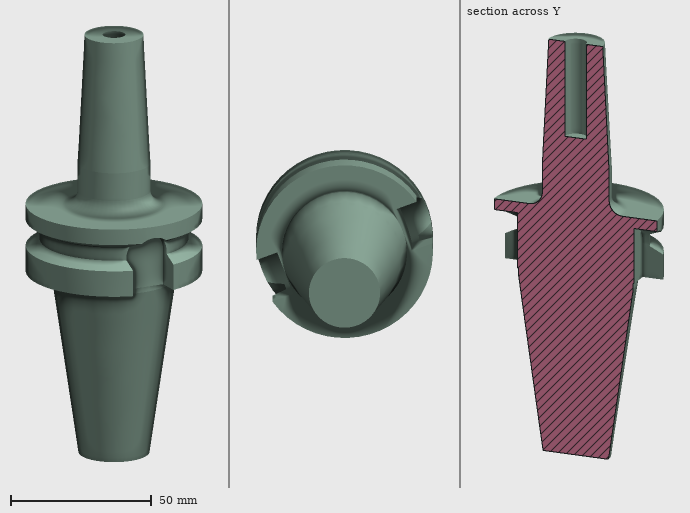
import cadquery as cq

total_length = 155.4
taper_length = 65.5
gauge_diameter = 44.5
taper_ratio = 7 / 24

collar_height = 2.0
flange_diameter = 63.0
flange_thickness = 25.0
groove_diameter = 53.0
upper_rim_height = 5.7
groove_wall_height = 2.5
groove_floor_height = 4.8

body_diameter = 26.0
body_height = 15.2
body_fillet = 5.0
nose_diameter = 21.0
bore_diameter = 8.1
bore_depth = 35.7

slot_width = 16.2
slot_floor_offset = 22.5
slot_top_gap = 4.2

gauge_radius = gauge_diameter / 2
small_end_radius = gauge_radius - taper_length * taper_ratio / 2
flange_radius = flange_diameter / 2
groove_radius = groove_diameter / 2
body_radius = body_diameter / 2
nose_radius = nose_diameter / 2

nose_top = total_length - taper_length
flange_bottom = collar_height
flange_top = flange_bottom + flange_thickness
upper_rim_bottom = flange_top - upper_rim_height
groove_floor_top = upper_rim_bottom - groove_wall_height
groove_floor_bottom = groove_floor_top - groove_floor_height
lower_rim_top = groove_floor_bottom - groove_wall_height
body_top = flange_top + body_height


def make_holder():
    """Revolved taper, grooved flange and slender nose."""
    profile = (
        cq.Workplane("XZ")
        .moveTo(0, -taper_length)
        .lineTo(small_end_radius, -taper_length)
        .lineTo(gauge_radius, 0)
        .lineTo(gauge_radius, flange_bottom)
        .lineTo(flange_radius, flange_bottom)
        .lineTo(flange_radius, lower_rim_top)
        .lineTo(groove_radius, groove_floor_bottom)
        .lineTo(groove_radius, groove_floor_top)
        .lineTo(flange_radius, upper_rim_bottom)
        .lineTo(flange_radius, flange_top)
        .lineTo(body_radius + body_fillet, flange_top)
        .radiusArc((body_radius, flange_top + body_fillet), body_fillet)
        .lineTo(body_radius, body_top)
        .lineTo(nose_radius, nose_top)
        .lineTo(0, nose_top)
        .close()
    )
    return profile.revolve(360, (0, 0, 0), (0, 1, 0))


def make_bore():
    """Blind tool bore in the nose."""
    bore_floor = cq.Workplane("XY").workplane(offset=nose_top - bore_depth)
    return bore_floor.circle(bore_diameter / 2).extrude(bore_depth)


def make_drive_slot(side):
    """Round-topped drive slot, open at the flange bottom, on the +X (1) or -X (-1) side."""
    half_width = slot_width / 2
    slot_top = flange_top - slot_top_gap
    arc_start = slot_top - half_width
    return (
        cq.Workplane("YZ")
        .workplane(offset=side * slot_floor_offset)
        .moveTo(-half_width, flange_bottom)
        .lineTo(-half_width, arc_start)
        .threePointArc((0, slot_top), (half_width, arc_start))
        .lineTo(half_width, flange_bottom)
        .close()
        .extrude(side * flange_radius)
    )


result = make_holder().cut(make_bore())
for side in (-1, 1):
    result = result.cut(make_drive_slot(side))